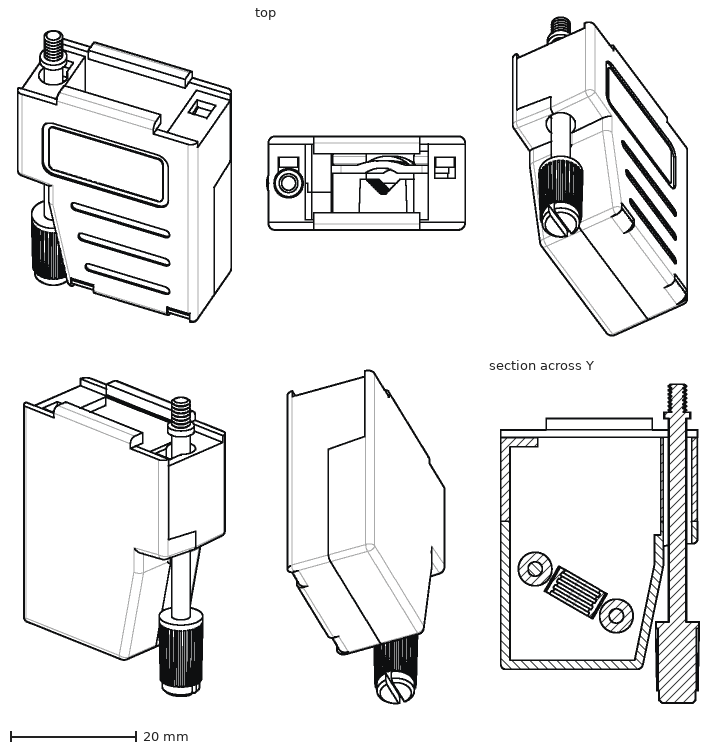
import cadquery as cq
import math


HOOD_W = 31.5
HOOD_T = 15.0
HOOD_H = 38.3
HALF_W = HOOD_W / 2
HALF_T = HOOD_T / 2
STEP_X = -10.3
STEP_Z = -18.15
STEP_RISE_FRONT = 0.3
STEP_RISE_BACK = 0.5
STEP_TILT = 5.0
STEP_SPARE = 3.0
TAPER_Z = -21.6
FOOT_X = -6.85
EDGE_R = 1.1
SIDE_EDGE_R = 1.2
FOOT_R = 1.0
CORNER_R = 0.8

PLATE_T = 1.25
END_DROP = 1.2
BLOCK_HALF_T = HALF_T - PLATE_T
WALL_T = 1.5
OPENING_HALF_W = 9.8
CAVITY_Y0 = -5.85
CAVITY_Y1 = BLOCK_HALF_T
LEDGE_Z = -16.8
CEILING_Z = -2.7
SEAM_Z_MID = -14.75
SEAM_Z_SIDE = -14.15
LIP_T = 0.6
LIP_H = 1.45
NICHE_Z = -7.2
NICHE_T = 0.5

HOOK_HALF_W = 8.5
HOOK_H = 1.85
HOOK_T = 2.8
HOOK_R = 1.0

LABEL_W = 22.1
LABEL_H = 11.1
LABEL_R = 2.0
LABEL_X = 0.05
LABEL_Z = -9.75
LABEL_BORDER = 1.05
LABEL_INNER_R = 0.9
LABEL_DEPTH = 0.35
LABEL_PAD_H = 0.2
GRIP_W = 1.55
GRIP_DEPTH = 0.3
GRIP_RIGHT_X = 11.35
GRIP_LEFT_X = -5.95
GRIP_LEFT_STEP = 1.24
GRIP_Z = -20.5
GRIP_PITCH = 6.03
GRIP_COUNT = 3
NOTCH_W = 3.95
NOTCH_XS = (-4.03, 12.87)
NOTCH_TOP_Z = -36.0
NOTCH_LIP_Z = -36.6
NOTCH_DEPTH = 0.65
NOTCH_LIP_DEPTH = 0.25

SCREW_X = 12.5
SHAFT_R = 1.5
HOLE_R = 2.33
COLLAR_R = 2.15
COLLAR_Z = 1.8
COLLAR_H = 1.05
THREAD_TOP = 7.3
THREAD_R = 1.5
THREAD_ROOT_R = 1.12
THREAD_COUNT = 7
KNOB_R = 3.5
KNOB_TOP = -30.7
KNOB_FLANGE = 1.05
KNURL_BOTTOM = -41.7
KNURL_BOTTOM_R = 3.3
KNURL_COUNT = 30
KNURL_W = 0.34
KNURL_DEPTH = 0.35
TIP_R = 3.0
TIP_BOTTOM = -43.7
TIP_CHAMFER = 0.5
SLOT_W = 1.0

POCKET_W = 3.25
POCKET_Y0 = 0.8
POCKET_Y1 = 4.15
POCKET_BOTTOM = -7.0
LATCH_W = 2.95
LATCH_TIP_Y = 2.55
LATCH_T = 1.0
LATCH_RAMP_H = 0.5

CLAMP_X = 3.75
CLAMP_Z = -26.0
CLAMP_TILT = 30.0
CLAMP_SCREW_U = 7.5
BOSS_R = 2.7
STRAP_R = 2.9
STRAP_Y = 1.58
STRAP_T = 1.3
ARCH_INNER_U = 3.0
ARCH_INNER_H = 0.85
ARCH_OUTER_U = 4.5
ARCH_OUTER_H = 0.75
CROWN_U = 4.2
CROWN_H = 1.45
CROWN_W = 2.0
HEAD_R = 2.7
HEAD_H = 2.25
HEAD_TOP_R = 0.8
HEAD_BOTTOM_R = 0.35
CLAMP_SHANK_R = 1.1
CLAMP_SHANK_L = 5.0
SADDLE_U = 4.45
SADDLE_TOP_U = 4.2
SADDLE_W = 4.6
SADDLE_TOP_Y = 0.67
VEE_DEPTH = 2.45
VEE_HALF_ANGLE = 49.0
VEE_R = 1.0
TOOTH_COUNT = 4
TOOTH_H = 0.25


def box(x0, x1, y0, y1, z0, z1):
    return cq.Workplane("XY").box(x1 - x0, y1 - y0, z1 - z0, centered=False).translate((x0, y0, z0))


def prism_xz(points, y0, y1):
    """Closed XZ outline swept from y0 to y1."""
    return cq.Workplane("XZ", origin=(0, y0, 0)).polyline(points).close().extrude(y0 - y1)


def prism_yz(points, x0, x1):
    """Closed YZ outline swept from x0 to x1."""
    return cq.Workplane("YZ", origin=(x0, 0, 0)).polyline(points).close().extrude(x1 - x0)


def cylinder_y(x, z, radius, y0, y1):
    return cq.Workplane("XZ", origin=(x, y0, z)).circle(radius).extrude(y0 - y1)


def hood_outer():
    body = prism_xz(
        [
            (-HALF_W, 0),
            (HALF_W, 0),
            (HALF_W, -HOOD_H),
            (FOOT_X, -HOOD_H),
            (STEP_X, TAPER_Z),
            (STEP_X, STEP_Z - STEP_SPARE),
            (-HALF_W, STEP_Z - STEP_SPARE),
        ],
        -HALF_T,
        HALF_T,
    )
    under = prism_yz(
        [
            (0, 0),
            (HALF_T, STEP_RISE_BACK),
            (HALF_T, -STEP_SPARE),
            (-HALF_T, -STEP_SPARE),
            (-HALF_T, STEP_RISE_FRONT),
        ],
        -STEP_SPARE,
        HALF_W,
    )
    under = under.rotate((0, 0, 0), (0, 1, 0), STEP_TILT).translate((-HALF_W, 0, STEP_Z))
    under = under.intersect(box(-HOOD_W, STEP_X, -HALF_T, HALF_T, -HOOD_H, 0))
    body = body.cut(under)
    body = body.faces("<Z").edges(">X").fillet(CORNER_R)
    body = body.faces("<Z").edges("<X").fillet(FOOT_R)
    shoulder_corner = [e for e in body.faces("<X").edges("not |Z").vals() if e.Center().z < STEP_Z / 2]
    body = body.newObject(shoulder_corner).fillet(CORNER_R)
    for face in ("<Y", ">Y"):
        rim = body.faces(face).edges("not >Z")
        body = rim.fillet(EDGE_R)
    bulge = SIDE_EDGE_R * (1 - math.sqrt(0.5))
    round_trim = (
        cq.Workplane("XY")
        .moveTo(HALF_W, -HALF_T)
        .lineTo(HALF_W - SIDE_EDGE_R, -HALF_T)
        .threePointArc((HALF_W - bulge, -HALF_T + bulge), (HALF_W, -HALF_T + SIDE_EDGE_R))
        .close()
    )
    return body.cut(round_trim.extrude(-HOOD_H))


def hook(side):
    """Top hook of one half, curling in over the opening; side is -1 for front, 1 for back."""
    bar = box(-HOOK_HALF_W, HOOK_HALF_W, HALF_T - HOOK_T, HALF_T, 0, HOOK_H)
    bar = bar.edges("|X and >Y and >Z").fillet(HOOK_R)
    return bar if side > 0 else bar.mirror("XZ")


def lower_left_wall(offset):
    """Inner edge of the ledge and the slanted side, moved outward by offset."""
    wall_x = STEP_X + WALL_T - offset
    drop = HOOD_H + TAPER_Z
    slope = (FOOT_X - STEP_X) / drop
    floor_z = -HOOD_H + WALL_T - offset
    foot_x = wall_x + slope * (TAPER_Z - floor_z)
    return [(wall_x, TAPER_Z), (foot_x, floor_z)]


def cavity():
    right_x = HALF_W - WALL_T
    outline = [(-OPENING_HALF_W, 0), (-OPENING_HALF_W, LEDGE_Z), (STEP_X + WALL_T, LEDGE_Z)]
    outline += lower_left_wall(0)
    outline += [
        (right_x, -HOOD_H + WALL_T),
        (right_x, CEILING_Z),
        (OPENING_HALF_W, CEILING_Z),
        (OPENING_HALF_W, 0),
    ]
    inside = prism_xz(outline, CAVITY_Y0, CAVITY_Y1)
    niche = box(OPENING_HALF_W, right_x, CAVITY_Y1, CAVITY_Y1 + NICHE_T, NICHE_Z, CEILING_Z)
    return inside.union(niche)


def lip():
    """Tongue of the back half that laps inside the front half along the left wall."""
    outline = [(STEP_X + WALL_T, LEDGE_Z)] + lower_left_wall(0) + lower_left_wall(LIP_T)[::-1]
    outline += [(STEP_X + WALL_T - LIP_T, LEDGE_Z)]
    return prism_xz(outline, -LIP_H, 0)


def front_space():
    """Room taken by the front half: y < 0, and the upper ends as far as the back plate."""
    front = box(-HALF_W, HALF_W, -HALF_T, 0, -HOOD_H, HOOK_H)
    ends = [(0, SEAM_Z_MID), (BLOCK_HALF_T, SEAM_Z_SIDE), (BLOCK_HALF_T, 0), (0, 0)]
    left_end = prism_yz(ends, -HALF_W, -OPENING_HALF_W)
    right_end = prism_yz(ends, OPENING_HALF_W, HALF_W)
    return front.union(left_end).union(right_end).cut(lip())


def latch_pocket(x):
    """Square pocket in an end block, opening below the top of the block towards the back plate."""
    outline = [
        (POCKET_Y0, 0),
        (POCKET_Y0, POCKET_BOTTOM),
        (BLOCK_HALF_T, POCKET_BOTTOM),
        (BLOCK_HALF_T, CEILING_Z),
        (POCKET_Y1, CEILING_Z),
        (POCKET_Y1, 0),
    ]
    return prism_yz(outline, x - POCKET_W / 2, x + POCKET_W / 2)


def latch_hook(x):
    """Hook on the back plate with a ramp that shows in the pocket."""
    root_y = CAVITY_Y1 + NICHE_T
    outline = [
        (root_y, CEILING_Z - LATCH_T),
        (POCKET_Y1, CEILING_Z - LATCH_T),
        (LATCH_TIP_Y, CEILING_Z - LATCH_RAMP_H - LATCH_T),
        (LATCH_TIP_Y, CEILING_Z - LATCH_RAMP_H),
        (POCKET_Y1, CEILING_Z),
        (root_y, CEILING_Z),
    ]
    return prism_yz(outline, x - LATCH_W / 2, x + LATCH_W / 2)


def label_recess():
    def rounded(w, h, r, depth):
        face = cq.Workplane("XZ", origin=(LABEL_X, -HALF_T, LABEL_Z)).rect(w, h)
        return face.extrude(-depth).edges("|Y").fillet(r)

    recess = rounded(LABEL_W, LABEL_H, LABEL_R, LABEL_DEPTH)
    pad = rounded(
        LABEL_W - 2 * LABEL_BORDER, LABEL_H - 2 * LABEL_BORDER, LABEL_INNER_R, LABEL_DEPTH
    )
    return recess.cut(pad.translate((0, LABEL_DEPTH - LABEL_PAD_H, 0)))


def grip_grooves():
    grooves = cq.Workplane("XZ")
    for i in range(GRIP_COUNT):
        left_x = GRIP_LEFT_X + i * GRIP_LEFT_STEP
        place = cq.Workplane("XZ", origin=((left_x + GRIP_RIGHT_X) / 2, -HALF_T, GRIP_Z - i * GRIP_PITCH))
        grooves = grooves.add(place.slot2D(GRIP_RIGHT_X - left_x, GRIP_W).extrude(-GRIP_DEPTH))
    return grooves.combine()


def bottom_notches():
    """Two notches in the bottom front edge: a sloping shelf above a rounded lower part."""
    deep_y = -HALF_T + NOTCH_DEPTH
    lip_y = -HALF_T + NOTCH_LIP_DEPTH
    round_r = HOOD_H + NOTCH_LIP_Z
    mid = round_r * math.sqrt(0.5)
    profile = (
        cq.Workplane("YZ")
        .moveTo(-HALF_T, NOTCH_TOP_Z)
        .lineTo(deep_y, NOTCH_TOP_Z)
        .lineTo(lip_y, NOTCH_LIP_Z)
        .threePointArc(
            (lip_y + round_r - mid, NOTCH_LIP_Z - mid), (lip_y + round_r, NOTCH_LIP_Z - round_r)
        )
        .lineTo(-HALF_T, -HOOD_H)
        .close()
        .extrude(NOTCH_W)
    )
    left, right = [profile.translate((x - NOTCH_W / 2, 0, 0)) for x in NOTCH_XS]
    return left.union(right)


def hollow_hood():
    """Both hood halves in one piece, with opening, hooks and screw hole, still without bosses."""
    hood = hood_outer().union(hook(-1)).union(hook(1))
    hood = hood.cut(box(-HALF_W, HALF_W, -BLOCK_HALF_T, BLOCK_HALF_T, -END_DROP, 0))
    hood = hood.cut(cavity())
    screw_hole = cq.Workplane("XY").center(-SCREW_X, 0).circle(HOLE_R).extrude(-HOOD_H)
    return hood.cut(screw_hole)


def front_half():
    half = hollow_hood().intersect(front_space())
    for side in (-1, 1):
        half = half.cut(latch_pocket(side * SCREW_X))
    half = half.cut(label_recess()).cut(grip_grooves()).cut(bottom_notches())
    return half.union(clamp_bosses())


def back_half():
    half = hollow_hood().cut(front_space())
    for side in (-1, 1):
        half = half.union(latch_hook(side * SCREW_X))
    return half


def thumbscrew():
    pitch = (THREAD_TOP - COLLAR_Z - COLLAR_H) / THREAD_COUNT
    thread_z = COLLAR_Z + COLLAR_H
    outline = [
        (0, TIP_BOTTOM),
        (TIP_R - TIP_CHAMFER, TIP_BOTTOM),
        (TIP_R, TIP_BOTTOM + TIP_CHAMFER),
        (TIP_R, KNURL_BOTTOM),
        (KNURL_BOTTOM_R, KNURL_BOTTOM),
        (KNOB_R, KNOB_TOP - KNOB_FLANGE),
        (KNOB_R, KNOB_TOP),
        (SHAFT_R, KNOB_TOP),
        (SHAFT_R, COLLAR_Z),
        (COLLAR_R, COLLAR_Z),
        (COLLAR_R, thread_z),
    ]
    for i in range(THREAD_COUNT):
        outline += [
            (THREAD_ROOT_R, thread_z + i * pitch),
            (THREAD_R, thread_z + (i + 0.5) * pitch),
        ]
    outline += [(THREAD_ROOT_R, THREAD_TOP), (0, THREAD_TOP)]
    screw = cq.Workplane("XZ").polyline(outline).close().revolve(360, (0, 0, 0), (0, 1, 0))
    flutes = (
        cq.Workplane("XY", origin=(0, 0, KNURL_BOTTOM))
        .polarArray(KNOB_R, 0, 360, KNURL_COUNT)
        .rect(2 * KNURL_DEPTH, KNURL_W)
        .extrude(KNOB_TOP - KNOB_FLANGE - KNURL_BOTTOM)
    )
    slot = box(-KNOB_R, KNOB_R, -SLOT_W / 2, SLOT_W / 2, TIP_BOTTOM, KNURL_BOTTOM)
    return screw.cut(flutes).cut(slot).translate((-SCREW_X, 0, 0))


def tilted(part):
    """Move a part from the clamp's own frame to its place in the hood."""
    return part.rotate((0, 0, 0), (0, 1, 0), -CLAMP_TILT).translate((CLAMP_X, 0, CLAMP_Z))


def shank(u):
    top_y = STRAP_Y + STRAP_T
    return cylinder_y(u, 0, CLAMP_SHANK_R, top_y - CLAMP_SHANK_L, top_y)


def clamp_bosses():
    bosses = cq.Workplane("XZ")
    for u in (-CLAMP_SCREW_U, CLAMP_SCREW_U):
        boss = cylinder_y(u, 0, BOSS_R, CAVITY_Y0, STRAP_Y).cut(shank(u))
        bosses = bosses.add(boss)
    return tilted(bosses.combine())


def arch(half_span, rise, base_y, width):
    """Circular-segment bump of the given chord and rise, standing on base_y."""
    return (
        cq.Workplane("XY", origin=(0, 0, -width / 2))
        .moveTo(-half_span, base_y)
        .threePointArc((0, base_y + rise), (half_span, base_y))
        .close()
        .extrude(width)
    )


def strap():
    top_y = STRAP_Y + STRAP_T
    bar = cq.Workplane("XZ", origin=(0, STRAP_Y, 0)).slot2D(2 * (CLAMP_SCREW_U + STRAP_R), 2 * STRAP_R)
    bar = bar.extrude(-STRAP_T)
    bar = bar.union(arch(ARCH_OUTER_U, ARCH_OUTER_H, top_y, 2 * STRAP_R))
    bar = bar.union(arch(CROWN_U, CROWN_H, top_y, CROWN_W))
    bar = bar.cut(arch(ARCH_INNER_U, ARCH_INNER_H, STRAP_Y, 2 * STRAP_R))
    for u in (-CLAMP_SCREW_U, CLAMP_SCREW_U):
        bar = bar.cut(shank(u))
    return tilted(bar)


def clamp_screw(u):
    top_y = STRAP_Y + STRAP_T
    head = cylinder_y(u, 0, HEAD_R, top_y, top_y + HEAD_H)
    head = head.edges(">Y").fillet(HEAD_TOP_R).edges("<Y").fillet(HEAD_BOTTOM_R)
    return tilted(head.union(shank(u)))


def saddle():
    """Block under the cable, with a round-bottomed V groove that has cross teeth."""
    block = (
        cq.Workplane("XY", origin=(0, 0, -SADDLE_W / 2))
        .polyline(
            [
                (-SADDLE_U, CAVITY_Y0),
                (SADDLE_U, CAVITY_Y0),
                (SADDLE_TOP_U, SADDLE_TOP_Y),
                (-SADDLE_TOP_U, SADDLE_TOP_Y),
            ]
        )
        .close()
        .extrude(SADDLE_W)
    )

    half_angle = math.radians(VEE_HALF_ANGLE)
    apex_depth = VEE_DEPTH + VEE_R * (1 / math.sin(half_angle) - 1)

    def vee(grow, z0, length):
        depth = apex_depth + grow
        half_width = depth * math.tan(half_angle)
        points = [(-half_width, SADDLE_TOP_Y), (0, SADDLE_TOP_Y - depth), (half_width, SADDLE_TOP_Y)]
        groove = cq.Workplane("XY", origin=(0, 0, z0)).polyline(points).close().extrude(length)
        return groove.edges("|Z and <Y").fillet(VEE_R)

    block = block.cut(vee(0, -SADDLE_W / 2, SADDLE_W))
    pitch = SADDLE_W / TOOTH_COUNT
    for i in range(TOOTH_COUNT):
        block = block.cut(vee(TOOTH_H, -SADDLE_W / 2 + i * pitch, pitch / 2))
    return tilted(block)


clamp_screws = [clamp_screw(u) for u in (-CLAMP_SCREW_U, CLAMP_SCREW_U)]

result = cq.Compound.makeCompound(
    [
        front_half().val(),
        back_half().val(),
        thumbscrew().val(),
        strap().val(),
        *[screw.val() for screw in clamp_screws],
        saddle().val(),
    ]
)